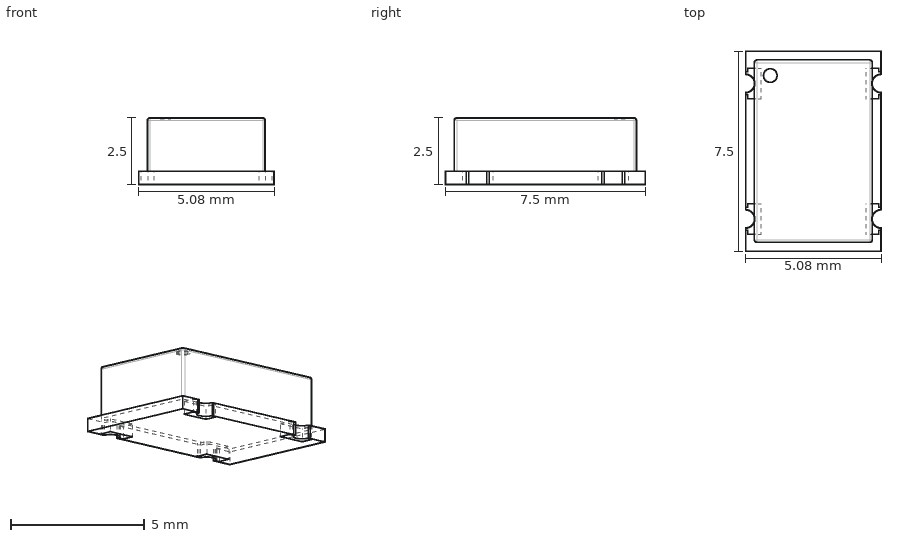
import cadquery as cq

base_length = 7.5
base_width = 5.08
base_thickness = 0.5

total_height = 2.5
cover_margin = 0.33
cover_edge_radius = 0.1
cover_width = base_width - 2 * cover_margin
cover_length = base_length - 2 * cover_margin
cover_height = total_height - base_thickness

terminal_spacing = base_width
notch_radius = 0.34
terminal_width = 1.155
terminal_mouth_width = 0.86
terminal_lip = 0.08
terminal_depth = terminal_width / 2

marker_radius = 0.255
marker_thickness = 0.04
marker_x = -1.61
marker_y = 2.835


def terminal_blank(side, y):
    """Stepped terminal block without its notch; side is -1 or +1 along X."""
    edge_x = side * base_width / 2
    lip_x = edge_x - side * terminal_lip
    inner_x = edge_x - side * terminal_depth
    half_mouth = terminal_mouth_width / 2
    half_width = terminal_width / 2
    return (
        cq.Workplane("XY")
        .moveTo(edge_x, y - half_mouth)
        .lineTo(lip_x, y - half_mouth)
        .lineTo(lip_x, y - half_width)
        .lineTo(inner_x, y - half_width)
        .lineTo(inner_x, y + half_width)
        .lineTo(lip_x, y + half_width)
        .lineTo(lip_x, y + half_mouth)
        .lineTo(edge_x, y + half_mouth)
        .close()
        .extrude(base_thickness)
    )


def make_terminal(side, y):
    """Terminal with the half-round notch cut through its full height."""
    notch = (
        cq.Workplane("XY")
        .center(side * base_width / 2, y)
        .circle(notch_radius)
        .extrude(base_thickness)
    )
    return terminal_blank(side, y).cut(notch)


def make_base(places):
    """Flat plate with a matching pocket for every terminal."""
    plate = cq.Workplane("XY").box(
        base_width, base_length, base_thickness, centered=(True, True, False)
    )
    for side, y in places:
        plate = plate.cut(terminal_blank(side, y))
    return plate


def make_marker():
    """Thin disc whose top is level with the cover top."""
    return (
        cq.Workplane("XY")
        .workplane(offset=total_height - marker_thickness)
        .center(marker_x, marker_y)
        .circle(marker_radius)
        .extrude(marker_thickness)
    )


def make_cover(marker):
    """Block with rounded upright and top edges, recessed for the marker."""
    block = (
        cq.Workplane("XY")
        .workplane(offset=base_thickness)
        .box(cover_width, cover_length, cover_height, centered=(True, True, False))
        .edges("|Z or >Z")
        .fillet(cover_edge_radius)
    )
    return block.cut(marker)


terminal_places = [
    (side, end * terminal_spacing / 2)
    for side in (-1, 1)
    for end in (-1, 1)
]

base = make_base(terminal_places)
terminals = [make_terminal(side, y) for side, y in terminal_places]
marker = make_marker()
cover = make_cover(marker)

result = cq.Compound.makeCompound(
    [base.val(), cover.val(), marker.val(), *[terminal.val() for terminal in terminals]]
)